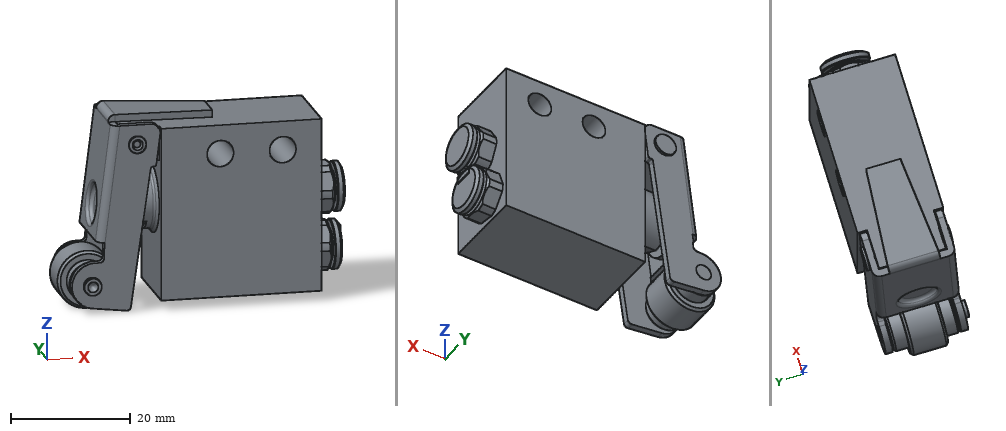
import cadquery as cq
import math


block_length = 27.6
block_width = 15.05
block_height = 29.95
mount_hole_diameter = 4.55
mount_hole_x = 10.15
mount_hole_spacing = 10.75
mount_hole_z = 25.0
tongue_length = 6.9
tongue_width = 11.7
tongue_bottom = 24.0

plunger_z = 16.0
plunger_radius = 5.15
plunger_flat_distance = 4.55
plunger_flat_angle = 62
plunger_flat_start = 1.8
collar_radius = 5.95
collar_length = 0.9
collar_waist_radius = 5.35
collar_waist_x = -0.5

sheet = 1.25
lever_half_width = 7.25
arm_inner = lever_half_width - sheet
bend_radius = 1.35
lever_tilt = math.radians(7.2)
plate_top_x = -8.45
plate_top_z = 30.8
plate_length = 20.25
lobe_x = -11.35
lobe_radius = 3.95
lobe_neck_x = -9.8
lobe_neck_fillet = 0.8
arm_foot_x = -5.25
arm_foot_fillet = 0.75
shoulder_inner = (-1.75, 23.3)
shoulder_outer = (-0.85, 23.4)
shoulder_fillet = 0.4
arm_top_fillet = 1.6

flap_top_z = 32.05
flap_bend = 1.2
flap_tip_x = 9.8
flap_slope = math.radians(2.2)
flap_root_half_width = 4.45
flap_tip_half_width = 3.0

dimple_z = 15.65
dimple_mouth_radius = 3.95
dimple_wall_radius = 3.4
dimple_floor_radius = 2.75
dimple_boss_radius = 4.45
dimple_depth = dimple_mouth_radius - dimple_floor_radius

roller_x = -11.85
roller_z = 3.2
roller_radius = 5.0
roller_right = -3.35
roller_left = 3.2
roller_chamfer = 0.45
hub_radius = 3.5
hub_half_length = 5.75
hub_chamfer = 0.35
spacer_radius = 2.45
axle_end = -8.0

pin_radius = 1.5
pin_recess_radius = 0.9
axle_recess_depth = 0.9
pivot_recess_floor_radius = 0.6
pivot_recess_depth = 0.5
pivot_x = -4.05
pivot_z = 27.4
pivot_end = -7.55
pivot_head_radius = 2.05
pivot_head_end = 7.7

fitting_places = [(0, 16.0, -27.3), (2.05, 5.35, 20.2)]
hex_across_flats = 8.4
hex_corner_radius = 4.5
hex_length = 3.0
hex_chamfer = 0.4
neck_radius = 2.8
ring_start = 3.55
ring_end = 4.95
ring_radius = 4.25
ring_chamfer_length = 0.45
ring_chamfer_depth = 0.7
ring_back_chamfer = 0.15

mark_width = 3.55
mark_height = 1.35
mark_offset = 2.85
mark_thickness = 0.15


def box_between(low, high):
    size = [b - a for a, b in zip(low, high)]
    return cq.Workplane("XY").box(*size, centered=False).translate(low)


def y_cylinder(x, z, radius, y_low, y_high):
    return cq.Workplane("XZ", origin=(x, y_low, z)).circle(radius).extrude(y_low - y_high)


def x_cylinder(y, z, radius, x_low, x_high):
    return cq.Workplane("YZ", origin=(x_low, y, z)).circle(radius).extrude(x_high - x_low)


def across_lever(outline, half_width):
    """Extrude an XZ outline symmetrically about the mid plane."""
    return outline.extrude(half_width, both=True)


def make_plunger():
    plunger = x_cylinder(0, plunger_z, plunger_radius, -tongue_length, 0)
    arc_middle_x = (collar_waist_x - collar_length) / 2
    arc_middle_radius = plunger_radius + (collar_waist_radius - plunger_radius) / 4
    collar = (
        cq.Workplane("XY", origin=(0, 0, plunger_z))
        .moveTo(-collar_length, 0)
        .lineTo(-collar_length, plunger_radius)
        .threePointArc((arc_middle_x, arc_middle_radius), (collar_waist_x, collar_waist_radius))
        .lineTo(0, collar_radius)
        .lineTo(0, 0)
        .close()
        .revolve(360, (0, 0), (1, 0))
    )
    flat = box_between(
        (-tongue_length, -collar_radius - plunger_flat_distance, -collar_radius),
        (-plunger_flat_start, -plunger_flat_distance, collar_radius),
    )
    flat = flat.rotate((0, 0, 0), (1, 0, 0), plunger_flat_angle).translate((0, 0, plunger_z))
    return plunger.cut(flat).union(collar)


def make_block():
    block = box_between((0, -block_width / 2, 0), (block_length, block_width / 2, block_height))
    tongue = box_between(
        (-tongue_length, -tongue_width / 2, tongue_bottom), (0, tongue_width / 2, block_height)
    )
    block = block.union(tongue).union(make_plunger())
    for x in (mount_hole_x, mount_hole_x + mount_hole_spacing):
        hole = y_cylinder(x, mount_hole_z, mount_hole_diameter / 2, -block_width, block_width)
        block = block.cut(hole)
    return block.cut(y_cylinder(pivot_x, pivot_z, pin_radius, -block_width, block_width))


def along_plate(down, inward):
    """XZ point measured down the lever plate from its top and inward from its outer face."""
    x = plate_top_x - down * math.sin(lever_tilt) + inward * math.cos(lever_tilt)
    z = plate_top_z - down * math.cos(lever_tilt) - inward * math.sin(lever_tilt)
    return (x, z)


def make_lever_channel():
    """Plate and two side arms, without holes."""
    lobe_top = roller_z + lobe_radius
    lobe_foot_x = lobe_x - lobe_radius * math.sin(lever_tilt)
    lobe_foot_z = roller_z - lobe_radius * math.cos(lever_tilt)
    arm_foot_z = lobe_foot_z - (arm_foot_x - lobe_foot_x) * math.tan(lever_tilt)
    arm_top_x = shoulder_outer[0] + (plate_top_z - shoulder_outer[1]) * math.tan(lever_tilt)
    outline = (
        cq.Workplane("XZ")
        .moveTo(plate_top_x, plate_top_z)
        .lineTo(*along_plate(plate_length, 0))
        .lineTo(*along_plate(plate_length, bend_radius))
        .lineTo(lobe_neck_x, lobe_top)
        .lineTo(lobe_x, lobe_top)
        .threePointArc((lobe_x - lobe_radius, roller_z), (lobe_foot_x, lobe_foot_z))
        .lineTo(arm_foot_x, arm_foot_z)
        .lineTo(*shoulder_inner)
        .lineTo(*shoulder_outer)
        .lineTo(arm_top_x, plate_top_z)
        .close()
    )
    channel = across_lever(outline, lever_half_width)

    rounded_corners = [
        ((lobe_neck_x, lobe_top), lobe_neck_fillet),
        ((arm_foot_x, arm_foot_z), arm_foot_fillet),
        (shoulder_inner, shoulder_fillet),
        (shoulder_outer, shoulder_fillet),
        ((arm_top_x, plate_top_z), arm_top_fillet),
    ]
    for (x, z), radius in rounded_corners:
        corner = cq.selectors.NearestToPointSelector((x, 0, z))
        channel = channel.edges("|Y").edges(corner).fillet(radius)

    bend_x, bend_z = along_plate(plate_length / 2, 0)
    for side in (-1, 1):
        bend = cq.selectors.NearestToPointSelector((bend_x, side * lever_half_width, bend_z))
        channel = channel.edges(bend).fillet(bend_radius)

    clearance = 2 * lever_half_width
    space = across_lever(
        cq.Workplane("XZ").polyline([
            along_plate(-clearance, sheet),
            along_plate(plate_length, sheet),
            along_plate(plate_length, -clearance),
            along_plate(2 * plate_length, -clearance),
            along_plate(2 * plate_length, clearance),
            along_plate(-clearance, clearance),
        ]).close(),
        arm_inner,
    )
    return channel.cut(space)


def make_flap():
    """Tapered tongue bent over from the top of the plate."""
    root_x = plate_top_x + flap_bend
    tip_top_z = flap_top_z - (flap_tip_x - root_x) * math.tan(flap_slope)
    tip_bottom_x = flap_tip_x - sheet * math.sin(flap_slope)
    tip_bottom_z = tip_top_z - sheet * math.cos(flap_slope)
    middle_x = root_x - flap_bend * math.cos(math.pi / 4)
    middle_z = flap_top_z - flap_bend * (1 - math.cos(math.pi / 4))
    side_outline = (
        cq.Workplane("XZ")
        .moveTo(plate_top_x, plate_top_z)
        .threePointArc((middle_x, middle_z), (root_x, flap_top_z))
        .lineTo(flap_tip_x, tip_top_z)
        .lineTo(tip_bottom_x, tip_bottom_z)
        .lineTo(plate_top_x + sheet, plate_top_z)
        .close()
    )
    plan = (
        cq.Workplane("XY")
        .polyline([
            (plate_top_x, -flap_root_half_width),
            (root_x, -flap_root_half_width),
            (flap_tip_x, -flap_tip_half_width),
            (flap_tip_x, flap_tip_half_width),
            (root_x, flap_root_half_width),
            (plate_top_x, flap_root_half_width),
        ])
        .close()
        .extrude(2 * flap_top_z)
    )
    return across_lever(side_outline, flap_root_half_width).intersect(plan)


def dimple_plane():
    """Plane through the dimple axis: local X across the plate, local Y outward from it."""
    down = (plate_top_z - dimple_z) / math.cos(lever_tilt)
    x, z = along_plate(down, 0)
    up_the_plate = (math.sin(lever_tilt), 0, math.cos(lever_tilt))
    return cq.Plane(origin=(x, 0, z), xDir=(0, 1, 0), normal=up_the_plate)


def make_dimple_recess():
    mouth_bend = dimple_mouth_radius - dimple_wall_radius
    floor_bend = dimple_wall_radius - dimple_floor_radius
    diagonal = math.cos(math.pi / 4)
    mouth_middle = (
        dimple_mouth_radius - mouth_bend * diagonal,
        -mouth_bend * (1 - diagonal),
    )
    floor_middle = (
        dimple_floor_radius + floor_bend * diagonal,
        -dimple_depth + floor_bend * (1 - diagonal),
    )
    return (
        cq.Workplane(dimple_plane())
        .moveTo(0, 0)
        .lineTo(dimple_mouth_radius, 0)
        .threePointArc(mouth_middle, (dimple_wall_radius, -mouth_bend))
        .threePointArc(floor_middle, (dimple_floor_radius, -dimple_depth))
        .lineTo(0, -dimple_depth)
        .close()
        .revolve(360, (0, 0), (0, 1))
    )


def make_dimple_boss():
    back = -sheet - dimple_depth
    return (
        cq.Workplane(dimple_plane())
        .polyline([(0, -sheet / 2), (dimple_boss_radius, -sheet / 2), (dimple_boss_radius, back), (0, back)])
        .close()
        .revolve(360, (0, 0), (0, 1))
    )


def make_lever():
    lever = make_lever_channel().union(make_flap())
    lever = lever.union(make_dimple_boss()).cut(make_dimple_recess())
    for x, z in ((pivot_x, pivot_z), (roller_x, roller_z)):
        lever = lever.cut(y_cylinder(x, z, pin_radius, -block_width, block_width))
    return lever


def pin_recess(x, z, end_y, floor_radius, depth):
    """Conical recess in the front end of a pin."""
    start = cq.Vector(x, end_y, z)
    return cq.Workplane(cq.Solid.makeCone(pin_recess_radius, floor_radius, depth, start, cq.Vector(0, 1, 0)))


def make_roller():
    """Roller, hubs, thrust spacers and axle turned as one piece."""
    wheel = y_cylinder(roller_x, roller_z, roller_radius, roller_right, roller_left)
    wheel = wheel.faces("<Y or >Y").chamfer(roller_chamfer)
    hub = y_cylinder(roller_x, roller_z, hub_radius, -hub_half_length, hub_half_length)
    hub = hub.faces("<Y or >Y").chamfer(hub_chamfer)
    spacer = y_cylinder(roller_x, roller_z, spacer_radius, -arm_inner, arm_inner)
    axle = y_cylinder(roller_x, roller_z, pin_radius, axle_end, lever_half_width)
    recess = pin_recess(roller_x, roller_z, axle_end, 0, axle_recess_depth)
    return wheel.union(hub).union(spacer).union(axle).cut(recess)


def make_pivot_pin():
    shank = y_cylinder(pivot_x, pivot_z, pin_radius, pivot_end, lever_half_width)
    head = y_cylinder(pivot_x, pivot_z, pivot_head_radius, lever_half_width, pivot_head_end)
    recess = pin_recess(pivot_x, pivot_z, pivot_end, pivot_recess_floor_radius, pivot_recess_depth)
    return shank.union(head).cut(recess)


def make_fitting(y, z, turn):
    """Hexagon with turned corners, neck and release ring, standing on the rear face of the block."""
    hexagon = (
        cq.Workplane("YZ")
        .polygon(6, hex_across_flats, circumscribed=True)
        .extrude(hex_length)
        .rotate((0, 0, 0), (1, 0, 0), turn)
    )
    turned = x_cylinder(0, 0, hex_corner_radius, 0, hex_length).faces(">X").chamfer(hex_chamfer)
    neck = x_cylinder(0, 0, neck_radius, 0, ring_start)
    ring = x_cylinder(0, 0, ring_radius, ring_start, ring_end)
    ring = ring.faces("<X").chamfer(ring_back_chamfer)
    ring = ring.faces(">X").edges().chamfer(ring_chamfer_length, ring_chamfer_depth)
    fitting = hexagon.intersect(turned).union(neck).union(ring)
    return fitting.translate((block_length, y, z))


def make_mark():
    y, z, _ = fitting_places[-1]
    mark = cq.Workplane("XY").box(mark_thickness, mark_width, mark_height, centered=(False, True, True))
    return mark.translate((block_length + ring_end, y, z + mark_offset))


block = make_block()
lever = make_lever()
roller = make_roller()
pivot_pin = make_pivot_pin()
fittings = [make_fitting(*place) for place in fitting_places]
fittings[-1] = fittings[-1].union(make_mark())

result = cq.Compound.makeCompound([
    block.val(),
    lever.val(),
    roller.val(),
    pivot_pin.val(),
    *[fitting.val() for fitting in fittings],
])